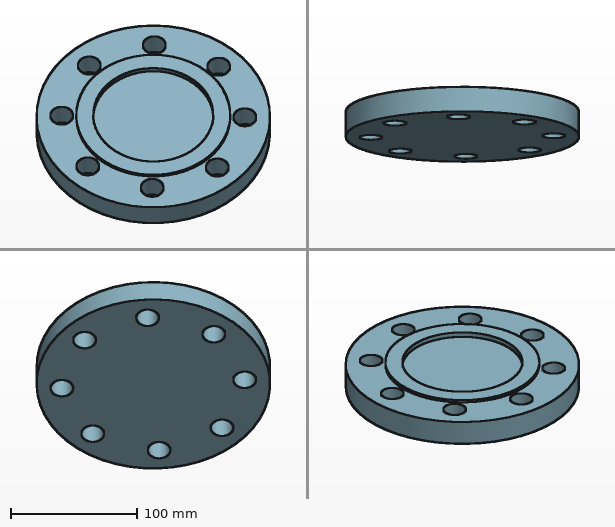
import cadquery as cq

flange_diameter = 185.0
total_height = 22.0
face_height = 2.0
flange_thickness = total_height - face_height

face_diameter = 122.1
recess_diameter = 95.0
recess_depth = 4.0

bolt_count = 8
bolt_circle_diameter = 145.0
bolt_hole_diameter = 18.0
first_bolt_angle = 360 / bolt_count / 2

flange = cq.Workplane("XY").circle(flange_diameter / 2).extrude(flange_thickness)

raised_face = (
    cq.Workplane("XY")
    .workplane(offset=flange_thickness)
    .circle(face_diameter / 2)
    .extrude(face_height)
)

recess = (
    cq.Workplane("XY")
    .workplane(offset=total_height - recess_depth)
    .circle(recess_diameter / 2)
    .extrude(recess_depth)
)

bolt_holes = (
    cq.Workplane("XY")
    .polarArray(bolt_circle_diameter / 2, first_bolt_angle, 360, bolt_count)
    .circle(bolt_hole_diameter / 2)
    .extrude(flange_thickness)
)

result = flange.union(raised_face).cut(recess).cut(bolt_holes)